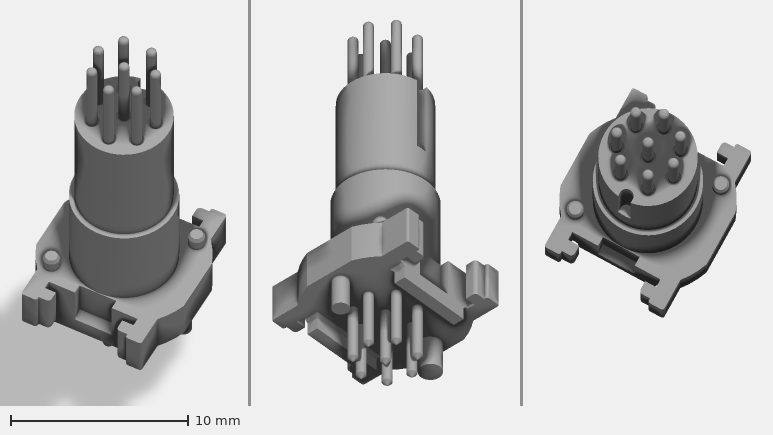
import cadquery as cq
import math


TOTAL_HEIGHT = 23.8
FLANGE_WIDTH = 9.4
FLANGE_LENGTH = 10.4

FLANGE_THICKNESS = 2.48
PLATE_LENGTH = 7.43
ROUND_RADIUS = 5.0

ARM_OUTER_X = 3.83
ARM_INNER_X = 2.83
ARM_ROOT_Y = 3.1
ARM_CORNER_RADIUS = 0.15
HOOK_TIP_X = 2.12
HOOK_INNER_Y = 4.21
HOOK_OUTER_Y = 4.95
HOOK_CORNER_RADIUS = 0.24

NOTCH_WIDTH = 2.35
NOTCH_DEPTH = 0.57
NOTCH_FLOOR_RISE = 0.29

FOOT_WIDTH = 4.95
FOOT_THICKNESS = 0.75
FOOT_HEIGHT = 1.0
FOOT_FLARE = 0.2

PEG_LENGTH = 2.0
PEG_X = 3.75
LARGE_PEG_RADIUS = 0.71
SMALL_PEG_RADIUS = 0.52

STUD_X = 3.25
STUD_Y = 2.6
STUD_RADIUS = 0.48
STUD_HEIGHT = 0.85
STUD_CHAMFER_HEIGHT = 0.21
STUD_CHAMFER_WIDTH = 0.12

LOWER_BARREL_RADIUS = 3.12
LOWER_BARREL_TOP = 7.97
UPPER_BARREL_RADIUS = 2.8
UPPER_BARREL_TOP = 15.3

KEYWAY_RADIUS = 0.4
KEYWAY_CENTRE_Y = 2.55
KEYWAY_LENGTH = 4.8

PIN_RADIUS = 0.3
PIN_BOTTOM = -3.83
PIN_TOP = PIN_BOTTOM + TOTAL_HEIGHT
PIN_TOP_FILLET = 0.21
PIN_CIRCLE_RADIUS = 1.85
PINS_EACH_SIDE = 3
RING_PIN_STEP = 50.5
MIDDLE_PIN_ANGLE = -90.0
COUNTERSINK_RADIUS = 0.45
COUNTERSINK_DEPTH = COUNTERSINK_RADIUS - PIN_RADIUS


def pin_positions():
    """Axis position first, then the ring, symmetrical about the YZ plane."""
    positions = [(0, 0)]
    for index in range(-PINS_EACH_SIDE, PINS_EACH_SIDE + 1):
        angle = math.radians(MIDDLE_PIN_ANGLE + index * RING_PIN_STEP)
        positions.append((PIN_CIRCLE_RADIUS * math.cos(angle), PIN_CIRCLE_RADIUS * math.sin(angle)))
    return positions


def cylinder(x, y, radius, bottom, top):
    return cq.Workplane("XY", origin=(x, y, bottom)).circle(radius).extrude(top - bottom)


def both_ends(shape):
    """Join a shape with its mirror image at the other Y end."""
    return shape.union(shape.mirror("XZ"))


def make_plate():
    rectangle = cq.Workplane("XY").rect(FLANGE_WIDTH, PLATE_LENGTH).extrude(FLANGE_THICKNESS)
    return rectangle.intersect(cylinder(0, 0, ROUND_RADIUS, 0, FLANGE_THICKNESS))


def make_latch_arms():
    arm_end_y = FLANGE_LENGTH / 2
    arm = (
        cq.Workplane("XY")
        .moveTo(ARM_INNER_X, ARM_ROOT_Y)
        .lineTo(ARM_OUTER_X, ARM_ROOT_Y)
        .lineTo(ARM_OUTER_X, arm_end_y)
        .lineTo(ARM_INNER_X, arm_end_y)
        .close()
        .extrude(FLANGE_THICKNESS)
        .edges("|Z and >Y")
        .fillet(ARM_CORNER_RADIUS)
    )
    hook_root_x = (ARM_INNER_X + ARM_OUTER_X) / 2
    hook = (
        cq.Workplane("XY")
        .moveTo(HOOK_TIP_X, HOOK_INNER_Y)
        .lineTo(hook_root_x, HOOK_INNER_Y)
        .lineTo(hook_root_x, HOOK_OUTER_Y)
        .lineTo(HOOK_TIP_X, HOOK_OUTER_Y)
        .close()
        .extrude(FLANGE_THICKNESS)
        .edges("|Z and <X and >Y")
        .fillet(HOOK_CORNER_RADIUS)
    )
    corner = arm.union(hook)
    return both_ends(corner.union(corner.mirror("YZ")))


def make_notches():
    """Cutters for the edge notches, drawn in the YZ plane."""
    edge_y = PLATE_LENGTH / 2
    wall_y = edge_y - NOTCH_DEPTH
    notch = (
        cq.Workplane("YZ")
        .moveTo(edge_y, 0)
        .lineTo(edge_y, FLANGE_THICKNESS)
        .lineTo(wall_y, FLANGE_THICKNESS)
        .lineTo(wall_y, NOTCH_FLOOR_RISE)
        .close()
        .extrude(NOTCH_WIDTH / 2, both=True)
    )
    return both_ends(notch)


def make_feet():
    """Feet flush with the plain edges; the other three sides flare at 45 degrees."""
    half_width = FOOT_WIDTH / 2
    outer_y = PLATE_LENGTH / 2
    inner_y = outer_y - FOOT_THICKNESS
    across_width = (
        cq.Workplane("XZ")
        .moveTo(-half_width, -FOOT_HEIGHT)
        .lineTo(half_width, -FOOT_HEIGHT)
        .lineTo(half_width, -FOOT_FLARE)
        .lineTo(half_width + FOOT_FLARE, 0)
        .lineTo(-half_width - FOOT_FLARE, 0)
        .lineTo(-half_width, -FOOT_FLARE)
        .close()
        .extrude(-outer_y)
    )
    across_thickness = (
        cq.Workplane("YZ")
        .moveTo(outer_y, -FOOT_HEIGHT)
        .lineTo(outer_y, 0)
        .lineTo(inner_y - FOOT_FLARE, 0)
        .lineTo(inner_y, -FOOT_FLARE)
        .lineTo(inner_y, -FOOT_HEIGHT)
        .close()
        .extrude(half_width + FOOT_FLARE, both=True)
    )
    return both_ends(across_width.intersect(across_thickness))


def make_pegs():
    large_peg = cylinder(-PEG_X, 0, LARGE_PEG_RADIUS, -PEG_LENGTH, 0)
    small_peg = cylinder(PEG_X, 0, SMALL_PEG_RADIUS, -PEG_LENGTH, 0)
    return large_peg.union(small_peg)


def make_stud(x, y):
    stud = cylinder(x, y, STUD_RADIUS, FLANGE_THICKNESS, FLANGE_THICKNESS + STUD_HEIGHT)
    return stud.faces(">Z").chamfer(STUD_CHAMFER_HEIGHT, STUD_CHAMFER_WIDTH)


def make_keyway():
    """Round-bottomed groove, open towards +Y and at the top."""
    bottom = UPPER_BARREL_TOP - KEYWAY_LENGTH
    return (
        cq.Workplane("XY", origin=(0, 0, bottom))
        .moveTo(-KEYWAY_RADIUS, UPPER_BARREL_RADIUS)
        .lineTo(-KEYWAY_RADIUS, KEYWAY_CENTRE_Y)
        .threePointArc((0, KEYWAY_CENTRE_Y - KEYWAY_RADIUS), (KEYWAY_RADIUS, KEYWAY_CENTRE_Y))
        .lineTo(KEYWAY_RADIUS, UPPER_BARREL_RADIUS)
        .close()
        .extrude(KEYWAY_LENGTH)
    )


def make_pin_hole(x, y):
    """Through hole that fits a pin, countersunk at the top of the barrel."""
    countersink = cq.Solid.makeCone(
        PIN_RADIUS,
        COUNTERSINK_RADIUS,
        COUNTERSINK_DEPTH,
        pnt=cq.Vector(x, y, UPPER_BARREL_TOP - COUNTERSINK_DEPTH),
    )
    return cylinder(x, y, PIN_RADIUS, 0, UPPER_BARREL_TOP).union(cq.Workplane(countersink))


def make_housing():
    housing = make_plate().union(make_latch_arms()).cut(make_notches())
    housing = housing.union(make_feet()).union(make_pegs())
    housing = housing.union(cylinder(0, 0, LOWER_BARREL_RADIUS, 0, LOWER_BARREL_TOP))
    housing = housing.union(cylinder(0, 0, UPPER_BARREL_RADIUS, 0, UPPER_BARREL_TOP))
    housing = housing.union(make_stud(STUD_X, STUD_Y)).union(make_stud(-STUD_X, -STUD_Y))
    housing = housing.cut(make_keyway())
    for x, y in pin_positions():
        housing = housing.cut(make_pin_hole(x, y))
    return housing


def make_pin(x, y):
    """Pin with a rounded top end and a 45 degree pointed bottom end."""
    profile = (
        cq.Workplane("XZ")
        .moveTo(0, PIN_BOTTOM)
        .lineTo(PIN_RADIUS, PIN_BOTTOM + PIN_RADIUS)
        .lineTo(PIN_RADIUS, PIN_TOP)
        .lineTo(0, PIN_TOP)
        .close()
    )
    pin = profile.revolve(360, (0, 0, 0), (0, 1, 0)).faces(">Z").edges().fillet(PIN_TOP_FILLET)
    return pin.translate((x, y, 0))


housing = make_housing()
pins = [make_pin(x, y) for x, y in pin_positions()]

result = cq.Compound.makeCompound([housing.val(), *[pin.val() for pin in pins]])